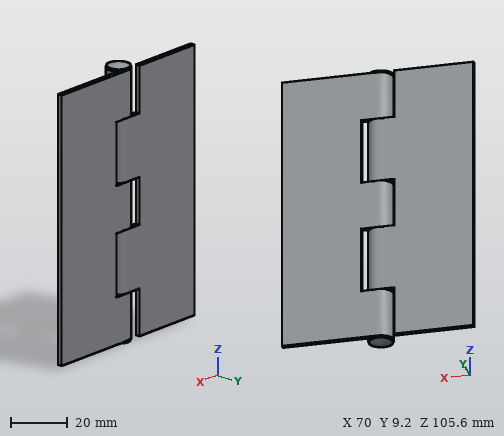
import cadquery as cq

total_height = 105.6
total_width = 70.0
barrel_diameter = 9.2
leaf_thickness = 1.8
end_knuckle_height = 18.0
between_knuckle_height = 24.1
leaf_gap = 6.0
cap_rim_radius = 4.3
cap_rim_height = 0.7

barrel_radius = barrel_diameter / 2
half_width = total_width / 2
leaf_height = 3 * end_knuckle_height + 2 * between_knuckle_height
half_leaf = leaf_height / 2
cap_height = (total_height - leaf_height) / 2
knuckle_pitch = end_knuckle_height + between_knuckle_height

RIGHT = 1
LEFT = -1


def make_plate(x_start, x_end, height, z_center):
    """Flat plate whose back face is tangent to the back of the barrel."""
    return cq.Workplane("XY").box(abs(x_end - x_start), leaf_thickness, height).translate(
        ((x_start + x_end) / 2, barrel_radius - leaf_thickness / 2, z_center)
    )


def make_leaf(side, knuckle_height, knuckle_centers):
    """Plate on one side of the axis, with tongues that end in round knuckles."""
    leaf = make_plate(side * leaf_gap, side * half_width, leaf_height, 0)
    for z_center in knuckle_centers:
        tongue = make_plate(0, side * leaf_gap, knuckle_height, z_center)
        knuckle = cq.Workplane("XY").cylinder(knuckle_height, barrel_radius).translate((0, 0, z_center))
        leaf = leaf.union(tongue).union(knuckle)
    return leaf


def make_cap(end):
    """End cap with a short rim and a shallow cone; end is +1 for top, -1 for bottom."""
    base_z = end * half_leaf
    rim_z = end * (half_leaf + cap_rim_height)
    tip_z = end * (half_leaf + cap_height)
    return (
        cq.Workplane("XZ")
        .moveTo(0, base_z)
        .lineTo(cap_rim_radius, base_z)
        .lineTo(cap_rim_radius, rim_z)
        .lineTo(0, tip_z)
        .close()
        .revolve(360, (0, 0, 0), (0, 1, 0))
    )


right_leaf = make_leaf(RIGHT, end_knuckle_height, [-knuckle_pitch, 0, knuckle_pitch])
left_leaf = make_leaf(LEFT, between_knuckle_height, [-knuckle_pitch / 2, knuckle_pitch / 2])
caps = [make_cap(end) for end in (-1, 1)]

result = cq.Compound.makeCompound([right_leaf.val(), left_leaf.val(), *[cap.val() for cap in caps]])